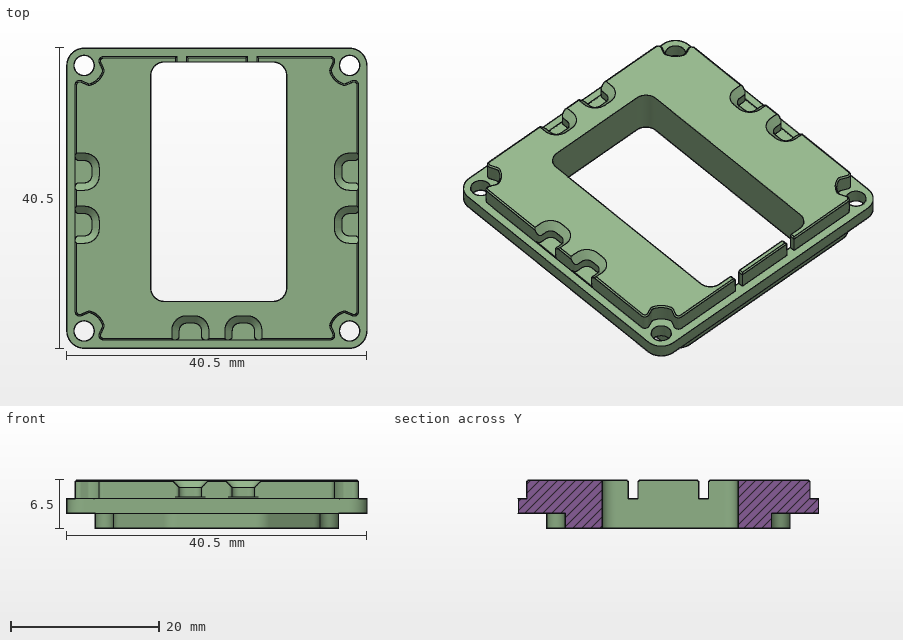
import cadquery as cq
import math

base_height = 2.0
flange_height = 2.0
block_height = 2.5
flange_bottom = base_height
block_bottom = flange_bottom + flange_height
block_top = block_bottom + block_height

flange_size = 40.5
corner_radius = 2.4
screw_offset = 17.9
screw_diameter = 2.7

base_half_length = 19.4
base_wide_half = 16.43
base_corner_cut = 7.62
neck_radius = 2.5
neck_angle = math.radians(60)
neck_start_y = 7.74

block_half = 19.1
block_chamfer = 0.2
relief_radius = 2.6
relief_flank_angle = math.radians(24)
relief_flank_y = 1.68
relief_tip_radius = 0.6
relief_root_radius = 0.5

window_left = -8.9
window_right = 9.4
window_front = -13.9
window_back = 18.35
window_radius = 1.8

slot_width = 1.3
slot_offset = 4.75
slot_overrun = 1.0
slot_length = block_half - window_back + slot_overrun

pocket_width = 3.0
pocket_depth = 2.25
pocket_corner_radius = 1.0
pocket_mouth_radius = 0.5
pocket_floor = block_bottom + 0.2
pocket_flare = 1.0
flare_angle = 45
pocket_offset = 3.575
pocket_overrun = 3.0


def make_base():
    """Base symmetric about X = 0: wide at the back, necked in, with cut front corners."""
    neck_step_x = neck_radius * (1 - math.cos(neck_angle))
    neck_step_y = neck_radius * math.sin(neck_angle)
    half_step_x = neck_radius * (1 - math.cos(neck_angle / 2))
    half_step_y = neck_radius * math.sin(neck_angle / 2)
    neck_half = base_wide_half - 2 * neck_step_x
    neck_mid = (neck_half + neck_step_x, neck_start_y + neck_step_y)
    neck_end = (base_wide_half, neck_start_y + 2 * neck_step_y)
    half = (
        cq.Workplane("XY")
        .moveTo(0, -base_half_length)
        .lineTo(neck_half - base_corner_cut, -base_half_length)
        .lineTo(neck_half, -base_half_length + base_corner_cut)
        .lineTo(neck_half, neck_start_y)
        .threePointArc((neck_half + half_step_x, neck_start_y + half_step_y), neck_mid)
        .threePointArc((base_wide_half - half_step_x, neck_end[1] - half_step_y), neck_end)
        .lineTo(base_wide_half, base_half_length)
        .lineTo(0, base_half_length)
        .close()
        .extrude(base_height)
    )
    corners = [
        (neck_half - base_corner_cut, -base_half_length),
        (neck_half, -base_half_length + base_corner_cut),
        (base_wide_half, base_half_length),
    ]
    half = fillet_uprights(half, corners, corner_radius)
    return half.union(half.mirror("YZ"))


def fillet_uprights(body, points, radius):
    """Round the vertical edges that stand at the given XY points."""
    reach = 0.01
    for x, y in points:
        box = cq.selectors.BoxSelector(
            (x - reach, y - reach, -block_top), (x + reach, y + reach, block_top)
        )
        body = body.edges("|Z").edges(box).fillet(radius)
    return body


def make_flange():
    return (
        cq.Workplane("XY", origin=(0, 0, flange_bottom))
        .rect(flange_size, flange_size)
        .extrude(flange_height)
        .edges("|Z")
        .fillet(corner_radius)
        .faces(">Z")
        .workplane()
        .rect(2 * screw_offset, 2 * screw_offset, forConstruction=True)
        .vertices()
        .hole(screw_diameter)
    )


def make_relief_quadrant():
    """Quarter of the block at +X +Y, its corner relieved around the screw."""
    slope = math.tan(relief_flank_angle)
    side = block_half - screw_offset
    level = relief_flank_y + slope * side
    root_x = (
        -slope * level + math.sqrt(relief_radius**2 * (1 + slope**2) - level**2)
    ) / (1 + slope**2)
    root_y = level + slope * root_x
    tip = (block_half, screw_offset - relief_flank_y)
    root = (screw_offset - root_x, screw_offset - root_y)
    middle = screw_offset - relief_radius / math.sqrt(2)
    quadrant = (
        cq.Workplane("XY", origin=(0, 0, block_bottom))
        .lineTo(block_half, 0)
        .lineTo(*tip)
        .lineTo(*root)
        .threePointArc((middle, middle), root[::-1])
        .lineTo(*tip[::-1])
        .lineTo(0, block_half)
        .close()
        .extrude(block_height)
    )
    quadrant = fillet_uprights(quadrant, [root, root[::-1]], relief_root_radius)
    return fillet_uprights(quadrant, [tip, tip[::-1]], relief_tip_radius)


def make_block():
    """Block with relieved corners and slots, chamfered around its top outline."""
    quadrant = make_relief_quadrant()
    half = quadrant.union(quadrant.mirror("YZ"))
    block = half.union(half.mirror("XZ")).clean()
    slots = (
        cq.Workplane("XY", origin=(0, block_half - slot_length / 2, block_bottom))
        .pushPoints([(-slot_offset, 0), (slot_offset, 0)])
        .rect(slot_width, slot_length)
        .extrude(block_height)
    )
    return block.cut(slots).faces(">Z").edges().chamfer(block_chamfer)


def make_window():
    return (
        cq.Workplane("XY")
        .center((window_left + window_right) / 2, (window_front + window_back) / 2)
        .rect(window_right - window_left, window_back - window_front)
        .extrude(block_top)
        .edges("|Z")
        .fillet(window_radius)
    )


def make_pocket():
    """Cutter for a pocket centred on X = 0 in the -Y side of the block."""
    end_y = -block_half + pocket_depth
    length = pocket_depth + pocket_overrun
    straight_height = block_top - pocket_flare - pocket_floor
    straight = (
        cq.Workplane("XY", origin=(0, end_y - length / 2, pocket_floor))
        .rect(pocket_width, length)
        .extrude(straight_height)
        .edges("|Z and >Y")
        .fillet(pocket_corner_radius)
    )
    flared = straight.faces(">Z").wires().toPending().extrude(pocket_flare, taper=-flare_angle)
    mouth_half = pocket_width / 2 + pocket_mouth_radius
    arc_middle = pocket_mouth_radius * (1 - math.sqrt(0.5))
    mouth = (
        cq.Workplane("XY", origin=(0, -block_half, pocket_floor))
        .moveTo(-mouth_half, 0)
        .threePointArc(
            (-pocket_width / 2 - arc_middle, arc_middle),
            (-pocket_width / 2, pocket_mouth_radius),
        )
        .lineTo(pocket_width / 2, pocket_mouth_radius)
        .threePointArc((pocket_width / 2 + arc_middle, arc_middle), (mouth_half, 0))
        .close()
        .extrude(block_top - pocket_floor)
    )
    return flared.union(mouth)


def make_pockets():
    """Pairs of pockets on the -X, -Y and +X sides."""
    pocket = make_pocket()
    pair = pocket.translate((-pocket_offset, 0, 0)).union(pocket.translate((pocket_offset, 0, 0)))
    pockets = pair
    for angle in (-90, 90):
        pockets = pockets.union(pair.rotate((0, 0, 0), (0, 0, 1), angle))
    return pockets


block = make_block().cut(make_pockets())
result = make_base().union(make_flange()).union(block).cut(make_window())